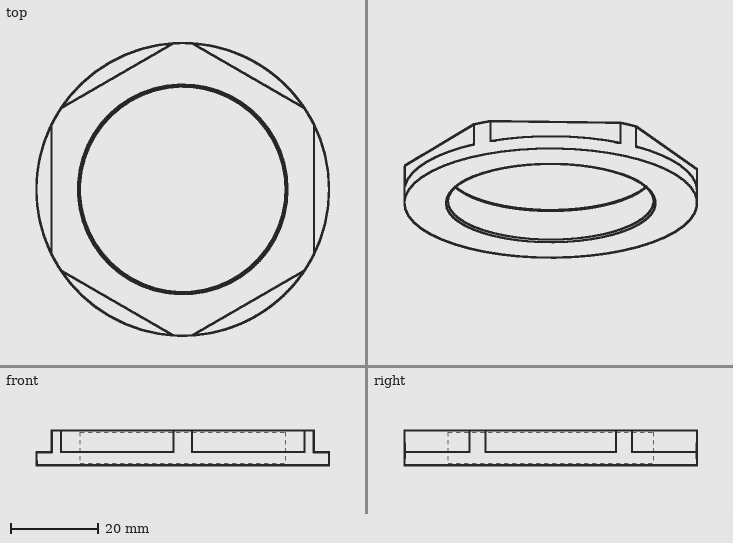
import cadquery as cq
import math

outer_diameter = 67.0
total_height = 8.0
flange_height = 3.0
across_flats = 60.0
bore_diameter = 47.05
bore_chamfer = 0.5

hex_height = total_height - flange_height
across_corners = across_flats / math.cos(math.pi / 6)


def hexagonal_head():
    """Hexagon with flats facing +X and -X, its corners rounded to the flange diameter."""
    hexagon = (
        cq.Workplane("XY")
        .workplane(offset=flange_height)
        .transformed(rotate=(0, 0, 90))
        .polygon(6, across_corners)
        .extrude(hex_height)
    )
    corner_limit = cq.Workplane("XY").circle(outer_diameter / 2).extrude(total_height)
    return hexagon.intersect(corner_limit)


def chamfered_bore():
    """Through bore, widened by a 45 degree chamfer at both ends."""
    radius = bore_diameter / 2
    mouth_radius = radius + bore_chamfer
    profile = [
        (0, 0),
        (mouth_radius, 0),
        (radius, bore_chamfer),
        (radius, total_height - bore_chamfer),
        (mouth_radius, total_height),
        (0, total_height),
    ]
    return cq.Workplane("XZ").polyline(profile).close().revolve(360, (0, 0, 0), (0, 1, 0))


flange = cq.Workplane("XY").circle(outer_diameter / 2).extrude(flange_height)
result = flange.union(hexagonal_head()).cut(chamfered_bore())